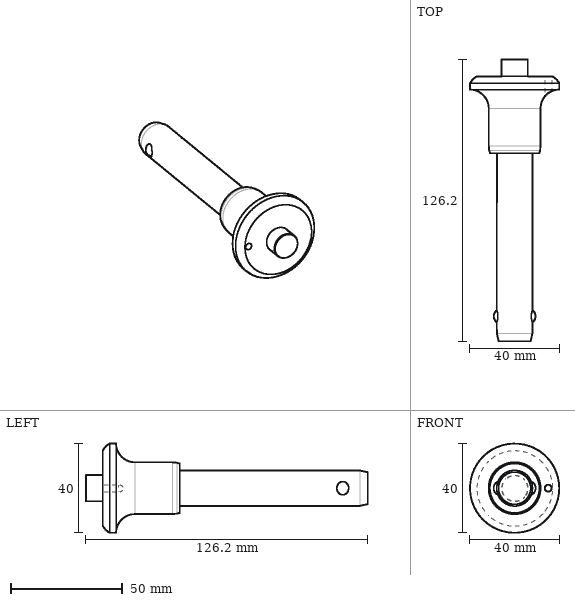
import cadquery as cq
import math


shank_length = 84.0
shank_radius = 8.0
tip_length = 3.5
tip_end_radius = 7.2

handle_length = 34.5
barrel_radius = 11.65
flange_radius = 20.0
flange_thickness = 6.0
flange_edge_size = 3.1
flange_edge_bulge = 0.3
flare_radius = flange_radius - barrel_radius

edge_chamfer_length = 1.4
edge_chamfer_depth = 0.4
collar_length = 2.1
collar_drop = 0.2

button_radius = 5.9
button_height = 7.7
button_chamfer_length = 0.4
button_chamfer_depth = 0.2

ball_radius = 3.2
ball_reach = 9.4
ball_from_tip = 11.2

lanyard_hole_diameter = 3.0
lanyard_hole_offset = 15.0


def make_pin():
    """Revolve the half outline (radius along X) of the whole pin about the Y axis."""
    button_top = handle_length + button_height
    flange_underside = handle_length - flange_thickness
    flare_start = flange_underside - flare_radius
    flare_middle = flare_radius * (1 - math.cos(math.pi / 4))
    edge_middle = flange_edge_size / 2 - flange_edge_bulge * math.cos(math.pi / 4)
    collar_end = edge_chamfer_length + collar_length
    collar_radius = barrel_radius - collar_drop
    outline = (
        cq.Workplane("XY")
        .moveTo(0, -shank_length)
        .lineTo(tip_end_radius, -shank_length)
        .lineTo(shank_radius, tip_length - shank_length)
        .lineTo(shank_radius, 0)
        .lineTo(collar_radius - edge_chamfer_depth, 0)
        .lineTo(collar_radius, edge_chamfer_length)
        .lineTo(barrel_radius, collar_end)
        .lineTo(barrel_radius, flare_start)
        .threePointArc(
            (barrel_radius + flare_middle, flange_underside - flare_middle),
            (flange_radius, flange_underside),
        )
        .lineTo(flange_radius, handle_length - flange_edge_size)
        .threePointArc(
            (flange_radius - edge_middle, handle_length - edge_middle),
            (flange_radius - flange_edge_size, handle_length),
        )
        .lineTo(button_radius, handle_length)
        .lineTo(button_radius, button_top - button_chamfer_length)
        .lineTo(button_radius - button_chamfer_depth, button_top)
        .lineTo(0, button_top)
        .close()
    )
    return outline.revolve(360, (0, 0, 0), (0, 1, 0))


def make_ball(side):
    """One locking ball, partly sunk in the shank; side is -1 or +1 along X."""
    centre_x = side * (ball_reach - ball_radius)
    centre_y = ball_from_tip - shank_length
    return cq.Workplane("XY").sphere(ball_radius).translate((centre_x, centre_y, 0))


def make_lanyard_hole():
    """Cutter for the hole that runs parallel to the pin axis through the flange."""
    return (
        cq.Workplane("XZ")
        .center(lanyard_hole_offset, 0)
        .circle(lanyard_hole_diameter / 2)
        .extrude(-handle_length)
    )


result = make_pin()
for side in (-1, 1):
    result = result.union(make_ball(side))
result = result.cut(make_lanyard_hole())